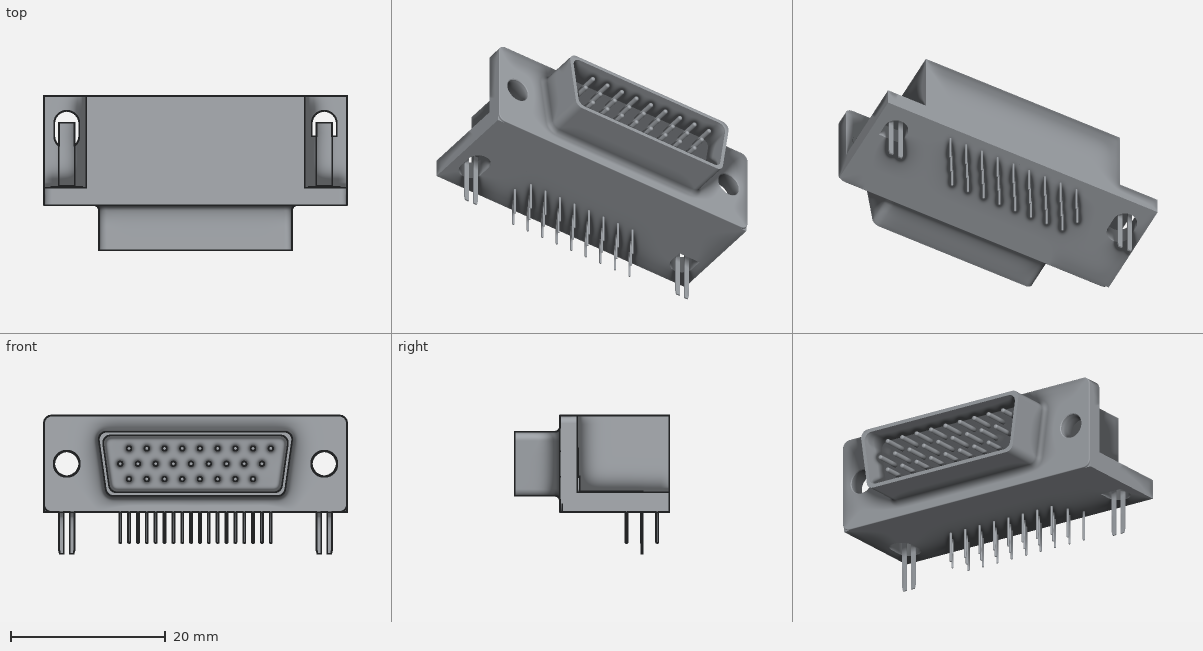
import cadquery as cq
import math


width = 39.2
height = 12.5
mid_height = height / 2
flange_front = 0.0
plate_thickness = 0.3
plate_front_edge_radius = 0.1
corner_radius = 1.0
body_depth = 14.15
body_back = flange_front + body_depth
flange_back = 2.25
center_width = 28.2
ledge_height = 2.6

mount_spacing = 33.3
mount_x = mount_spacing / 2
mount_hole_dia = 3.2
mount_hole_chamfer = 0.1

shell_length = 5.84
shell_width = 25.0
shell_height = 8.32
shell_wall = 0.48
shell_corner_radius = 1.0
cavity_corner_radius = 1.0
shell_side_angle = math.radians(8)
shell_root_radius = 0.6
cavity_floor_y = -2.0

contact_pitch = 2.29
contact_columns = 18
column_pitch = contact_pitch / 2
row_pitch = 1.98
contact_rows = ((1, 1, 9), (0, 0, 9), (-1, 1, 8))
contact_dia = 0.6
contact_tip_radius = 0.22
contact_tip_y = -5.6
solder_dia = 0.3
solder_tip_radius = 0.14
solder_length = 4.0
solder_row_y = body_back - 3.55

clip_back = body_back - 3.45
clip_thickness = 0.2
clip_width = 2.05
clip_proud = 0.12
clip_top = ledge_height + clip_proud
prong_width = 0.65
prong_length = 5.4
prong_tip_height = 0.6
prong_tip_inset = 0.13
eyelet_dia = 4.0
tab_thickness = 0.3
tab_top = mid_height - mount_hole_dia / 2

slot_width = mount_hole_dia
slot_back_center = body_back - 3.55
slot_front_center = body_back - 5.2

embed = 0.5
selector_margin = 0.05


def box(x_range, y_range, z_range):
    """Axis-aligned block from its limits along X, Y and Z."""
    (x0, x1), (y0, y1), (z0, z1) = x_range, y_range, z_range
    return cq.Workplane("XY").box(x1 - x0, y1 - y0, z1 - z0, centered=False).translate((x0, y0, z0))


def rod(x, z, dia, y_front, y_back):
    """Cylinder along Y."""
    circle = cq.Workplane("XZ", origin=(x, y_back, z)).circle(dia / 2)
    return circle.extrude(y_back - y_front)


def make_housing():
    half = width / 2
    joint_y = flange_front + plate_thickness
    plate = box((-half, half), (flange_front, joint_y), (0, height))
    plate = plate.edges("|Y").fillet(corner_radius)
    plate = plate.faces("<Y").edges().fillet(plate_front_edge_radius)
    flange = box((-half, half), (joint_y, flange_back), (0, height))
    flange = flange.edges("|Y and >Z").fillet(corner_radius)
    ledge = box((-half, half), (flange_back, body_back), (0, ledge_height))
    center = box((-center_width / 2, center_width / 2), (flange_back, body_back), (0, height))
    return plate.union(flange).union(ledge).union(center)


def d_prism(inset, radius, y_front, y_back):
    """Rounded D-shaped prism; inset shrinks the outline evenly on all sides."""
    half_height = shell_height / 2 - inset
    slope = math.tan(shell_side_angle)
    sharp_offset = shell_corner_radius * ((1 + math.sin(shell_side_angle)) / math.cos(shell_side_angle) - 1)
    side_at_top = shell_width / 2 + sharp_offset
    side_shift = inset / math.cos(shell_side_angle)
    top_half = side_at_top - side_shift - inset * slope
    bottom_half = top_half - 2 * half_height * slope
    outline = [
        (-top_half, half_height),
        (top_half, half_height),
        (bottom_half, -half_height),
        (-bottom_half, -half_height),
    ]
    prism = cq.Workplane("XZ", origin=(0, y_back, mid_height)).polyline(outline).close()
    return prism.extrude(y_back - y_front).edges("|Y").fillet(radius)


def add_shell(body):
    shell = d_prism(0, shell_corner_radius, flange_front - shell_length, flange_front)
    body = body.union(shell)
    reach_x = shell_width / 2 + selector_margin
    reach_z = shell_height / 2 + selector_margin
    root_edges = cq.selectors.BoxSelector(
        (-reach_x, flange_front - selector_margin, mid_height - reach_z),
        (reach_x, flange_front + selector_margin, mid_height + reach_z),
    )
    body = body.edges(root_edges).fillet(shell_root_radius)
    cavity = d_prism(shell_wall, cavity_corner_radius, flange_front - shell_length, cavity_floor_y)
    return body.cut(cavity)


def cut_mount_hole(body, x):
    hole = rod(x, mid_height, mount_hole_dia, flange_front, flange_back + embed)
    rim_dia = mount_hole_dia + 2 * mount_hole_chamfer
    rim = cq.Workplane("XZ", origin=(x, flange_front, mid_height)).circle(rim_dia / 2)
    rim = rim.workplane(offset=-mount_hole_chamfer).circle(mount_hole_dia / 2).loft()
    return body.cut(hole).cut(rim)


def cut_slot(body, x, rounded_front):
    """Board-lock slot through a ledge; its back end is round, its front end round or square."""
    half = slot_width / 2
    path = cq.Workplane("XY").moveTo(x + half, slot_front_center).lineTo(x + half, slot_back_center)
    path = path.threePointArc((x, slot_back_center + half), (x - half, slot_back_center))
    path = path.lineTo(x - half, slot_front_center)
    if rounded_front:
        path = path.threePointArc((x, slot_front_center - half), (x + half, slot_front_center))
    return body.cut(path.close().extrude(ledge_height))


def make_prong(x, side):
    """One flat leg of a clip; side tells which edge of the clip it follows."""
    outer = x + side * clip_width / 2
    inner = outer - side * prong_width
    outline = [
        (inner, clip_top),
        (outer, clip_top),
        (outer, prong_tip_height - prong_length),
        (outer - side * prong_tip_inset, -prong_length),
        (inner, -prong_length),
    ]
    return cq.Workplane("XZ", origin=(0, clip_back, 0)).polyline(outline).close().extrude(clip_thickness)


def make_clip(x):
    span = (x - clip_width / 2, x + clip_width / 2)
    sheet_front = flange_back - embed
    strap = box(span, (sheet_front, clip_back), (clip_top - clip_thickness, clip_top))
    tab = box(span, (sheet_front, flange_back + tab_thickness), (ledge_height, tab_top))
    eyelet_back = flange_back + clip_proud
    neck = box(span, (sheet_front, eyelet_back), (ledge_height, mid_height))
    eyelet = rod(x, mid_height, eyelet_dia, sheet_front, eyelet_back)
    clip = strap.union(tab).union(neck).union(eyelet)
    return clip.union(make_prong(x, -1)).union(make_prong(x, 1))


def add_contacts(body):
    first_x = -column_pitch * (contact_columns - 1) / 2
    for step, first_column, count in contact_rows:
        z = mid_height + step * row_pitch
        y = solder_row_y + step * row_pitch
        for index in range(count):
            x = first_x + first_column * column_pitch + index * contact_pitch
            pin = rod(x, z, contact_dia, contact_tip_y, cavity_floor_y + embed)
            body = body.union(pin.faces("<Y").edges().fillet(contact_tip_radius))
            tail = cq.Workplane("XY", origin=(x, y, -solder_length)).circle(solder_dia / 2)
            tail = tail.extrude(solder_length + embed)
            body = body.union(tail.faces("<Z").edges().fillet(solder_tip_radius))
    return body


result = add_shell(make_housing())
for side in (-1, 1):
    result = cut_slot(result, side * mount_x, rounded_front=side < 0)
    result = result.union(make_clip(side * mount_x))
    result = cut_mount_hole(result, side * mount_x)
result = add_contacts(result)